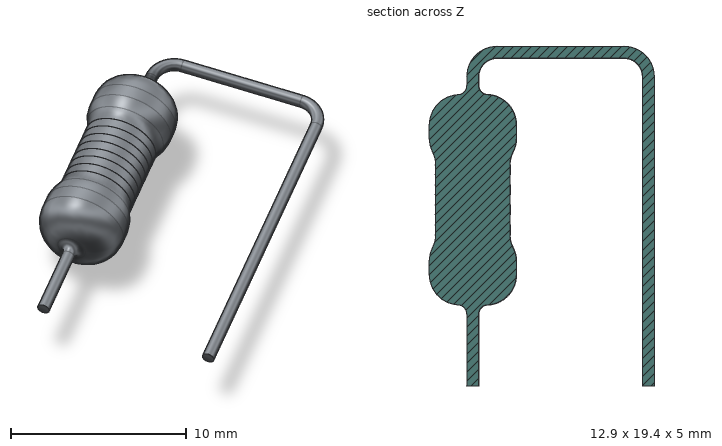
import cadquery as cq
import math


lead_radius = 0.7 / 2
lead_pitch = 10.0
bend_radius = 1.4
total_length = 19.35
bend_start = total_length - lead_radius - bend_radius

body_center = 10.6
body_length = 12.0
cap_radius = 5.0 / 2
waist_radius = 4.25 / 2
dome_radius = 1.75
cap_land = 0.77
waist_half_length = 2.0

shoulder_height = 0.52
foot_radius = 0.83

band_radius = 4.28 / 2
band_width = 0.56
band_count = 4
band_pitch = (2 * waist_half_length - band_width) / (band_count - 1)


def make_body():
    """Cylindrical waist with a revolved cap, neck and flare mirrored at both ends."""
    half_length = body_length / 2
    land_end = half_length - dome_radius
    land_start = land_end - cap_land
    neck_y = (land_start + waist_half_length) / 2
    neck_radius = (cap_radius + waist_radius) / 2

    dome_center_x = cap_radius - dome_radius
    foot_y = land_end + math.sqrt(dome_radius**2 - (foot_radius - dome_center_x) ** 2)
    dome_angle = math.radians(45)
    dome_mid = (
        dome_center_x + dome_radius * math.cos(dome_angle),
        land_end + dome_radius * math.sin(dome_angle),
    )
    shoulder_top = half_length + shoulder_height

    neck_rise = neck_radius - waist_radius
    neck_run = neck_y - waist_half_length
    neck_arc_radius = (neck_rise**2 + neck_run**2) / (2 * neck_rise)
    neck_half_angle = math.asin(neck_run / neck_arc_radius) / 2
    neck_mid = (
        waist_radius + neck_arc_radius * (1 - math.cos(neck_half_angle)),
        waist_half_length + neck_arc_radius * math.sin(neck_half_angle),
    )

    end_cap = (
        cq.Workplane("XY")
        .moveTo(0, waist_half_length)
        .lineTo(waist_radius, waist_half_length)
        .threePointArc(neck_mid, (neck_radius, neck_y))
        .tangentArcPoint((cap_radius, land_start), relative=False)
        .lineTo(cap_radius, land_end)
        .threePointArc(dome_mid, (foot_radius, foot_y))
        .ellipseArc(
            foot_radius - lead_radius,
            shoulder_top - foot_y,
            180,
            270,
            sense=-1,
            startAtCurrent=True,
        )
        .lineTo(0, shoulder_top)
        .close()
        .revolve(360, (0, 0, 0), (0, 1, 0))
    )
    waist = y_cylinder(waist_radius, -waist_half_length, waist_half_length)
    body = waist.union(end_cap).union(end_cap.mirror("XZ"))
    return body.translate((0, body_center, 0))


def y_cylinder(radius, start, end):
    """Cylinder on the body axis between two Y positions."""
    return cq.Workplane("XZ", origin=(0, start, 0)).circle(radius).extrude(start - end)


def make_bands():
    """Shallow raised rings spaced evenly along the waist."""
    bands = cq.Workplane("XY")
    first_band = body_center - waist_half_length
    for index in range(band_count):
        start = first_band + index * band_pitch
        bands = bands.add(y_cylinder(band_radius, start, start + band_width))
    return bands.combine()


def make_folded_lead():
    """Lead swept over the top of the body and back down to Y = 0."""
    top_y = bend_start + bend_radius
    path = (
        cq.Workplane("XY")
        .moveTo(0, bend_start)
        .radiusArc((bend_radius, top_y), bend_radius)
        .lineTo(lead_pitch - bend_radius, top_y)
        .radiusArc((lead_pitch, bend_start), bend_radius)
        .lineTo(lead_pitch, 0)
    )
    profile = cq.Workplane("XZ", origin=(0, bend_start, 0)).circle(lead_radius)
    return profile.sweep(path)


straight_leads = y_cylinder(lead_radius, 0, bend_start)
result = make_body().union(make_bands()).union(straight_leads).union(make_folded_lead())